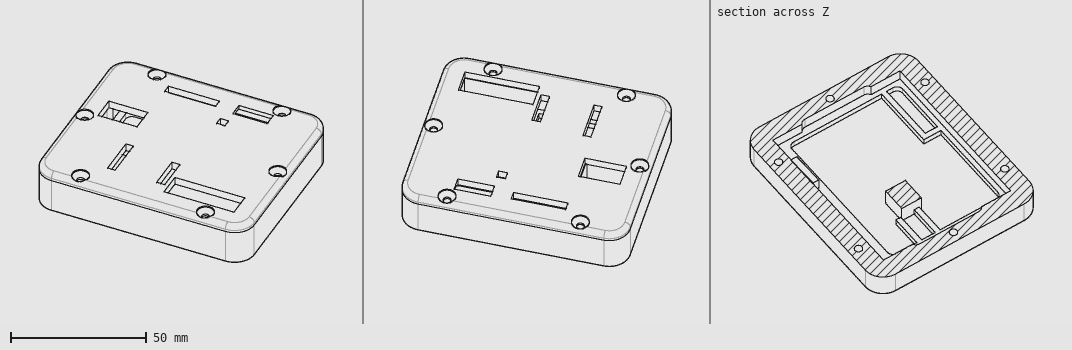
import cadquery as cq

LENGTH = 87.1
WIDTH = 74.4
HEIGHT = 17.2
CORNER_RADIUS = 8.0
TOP_FILLET = 2.1

BASE_HEIGHT = 14.0
FLOOR_THICKNESS = 2.5
LEDGE_HEIGHT = 5.0
SIDE_WALL = 8.3
END_WALL = 8.45
CAVITY_LENGTH = LENGTH - 2 * SIDE_WALL
CAVITY_WIDTH = WIDTH - 2 * END_WALL
UPPER_AREA = (-CAVITY_LENGTH / 2, CAVITY_LENGTH / 2, -CAVITY_WIDTH / 2, CAVITY_WIDTH / 2)
CAVITY_RADIUS = 2.5

RELIEF_DEPTH = 1.4
RELIEF_WIDTH = 31.7

LEFT_LEDGE = 2.7
RIGHT_LEDGE = 2.0
FRONT_LEDGE = 2.0
BACK_LEDGE = 5.4

FLOOR_X_MIN = -CAVITY_LENGTH / 2 + LEFT_LEDGE
FLOOR_X_MAX = CAVITY_LENGTH / 2 - RIGHT_LEDGE
FLOOR_Y_MIN = -CAVITY_WIDTH / 2 + FRONT_LEDGE
FLOOR_Y_MAX = CAVITY_WIDTH / 2 - BACK_LEDGE
FLOOR_AREA = (FLOOR_X_MIN, FLOOR_X_MAX, FLOOR_Y_MIN, FLOOR_Y_MAX)

SCREW_DIAMETER = 3.0
HEAD_DIAMETER = 6.6
HEAD_RECESS = 0.5
HEAD_CONE_DEPTH = (HEAD_DIAMETER - SCREW_DIAMETER) / 2
SIDE_SCREW_X = 39.5
END_SCREW_X = 25.5
END_SCREW_Y = 33.2
SCREW_POINTS = [
    (-SIDE_SCREW_X, 0),
    (SIDE_SCREW_X, 0),
    (-END_SCREW_X, -END_SCREW_Y),
    (-END_SCREW_X, END_SCREW_Y),
    (END_SCREW_X, -END_SCREW_Y),
    (END_SCREW_X, END_SCREW_Y),
]

BUS_WINDOW = (-34.85, -18.9, 1.7, 11.15)
MEAS_WINDOW = (6.6, 35.2, -29.0, -19.6)
LED_WINDOW = (9.85, 23.9, 24.0, 29.3)
NEEDLE_WINDOW = (6.9, 10.3, 16.2, 19.3)
GPIO1_WINDOW = (-18.3, -15.25, -25.1, -9.2)
GPIO2_WINDOW = (1.7, 5.05, -25.1, -11.85)
GPIO3_WINDOW = (-18.65, 2.2, 25.3, 28.6)
WINDOWS = [
    BUS_WINDOW,
    MEAS_WINDOW,
    LED_WINDOW,
    NEEDLE_WINDOW,
    GPIO1_WINDOW,
    GPIO2_WINDOW,
    GPIO3_WINDOW,
]

RIB_WIDTH = 2.3
MEAS_POCKET_LEFT = 8.5
MEAS_POCKET_BACK = -21.3
BUS_POCKET_FRONT = 3.4
BUS_POCKET_BACK = 9.5

CONNECTOR_LEFT = -19.2
CONNECTOR = (CONNECTOR_LEFT, -8.7, 0.0, 9.1)

MEAS_SIDE_RIB = (MEAS_POCKET_LEFT - RIB_WIDTH, MEAS_POCKET_LEFT, FLOOR_Y_MIN, MEAS_POCKET_BACK)
MEAS_BACK_RIB = (
    MEAS_POCKET_LEFT - RIB_WIDTH, FLOOR_X_MAX, MEAS_POCKET_BACK, MEAS_POCKET_BACK + RIB_WIDTH
)
BUS_FRONT_RIB = (FLOOR_X_MIN, CONNECTOR_LEFT, BUS_POCKET_FRONT - RIB_WIDTH, BUS_POCKET_FRONT)
BUS_BACK_RIB = (FLOOR_X_MIN, CONNECTOR_LEFT, BUS_POCKET_BACK, BUS_POCKET_BACK + RIB_WIDTH)
RIBS = [MEAS_SIDE_RIB, MEAS_BACK_RIB, BUS_FRONT_RIB, BUS_BACK_RIB]

LED_BAR_FRONT = 26.05
LED_BAR_TOP = HEIGHT - 1.3


def rounded_block(length, width, radius, bottom, top):
    """Block centred on Z with rounded vertical corners."""
    block = cq.Workplane("XY", origin=(0, 0, bottom)).rect(length, width).extrude(top - bottom)
    return block.edges("|Z").fillet(radius)


def bounded_block(bounds, bottom, top):
    """Block given by its X and Y limits and its two heights."""
    x_min, x_max, y_min, y_max = bounds
    block = cq.Workplane("XY").box(x_max - x_min, y_max - y_min, top - bottom, centered=False)
    return block.translate((x_min, y_min, bottom))


def screw_cutter():
    """Full-height screw hole on Z: shank, 45 degree head cone and a short straight head recess."""
    recess_bottom = HEIGHT - HEAD_RECESS
    cone_bottom = recess_bottom - HEAD_CONE_DEPTH
    half_profile = (
        cq.Workplane("XZ")
        .moveTo(0, 0)
        .lineTo(SCREW_DIAMETER / 2, 0)
        .lineTo(SCREW_DIAMETER / 2, cone_bottom)
        .lineTo(HEAD_DIAMETER / 2, recess_bottom)
        .lineTo(HEAD_DIAMETER / 2, HEIGHT)
        .lineTo(0, HEIGHT)
        .close()
    )
    return half_profile.revolve(360, (0, 0), (0, 1))


def make_base():
    base = rounded_block(LENGTH, WIDTH, CORNER_RADIUS, 0, BASE_HEIGHT)
    lower_cavity = bounded_block(FLOOR_AREA, FLOOR_THICKNESS, BASE_HEIGHT).edges("|Z").fillet(CAVITY_RADIUS)
    upper_cavity = bounded_block(UPPER_AREA, LEDGE_HEIGHT, BASE_HEIGHT)
    side_relief = rounded_block(
        CAVITY_LENGTH + 2 * RELIEF_DEPTH, RELIEF_WIDTH, CAVITY_RADIUS, LEDGE_HEIGHT, BASE_HEIGHT
    )
    base = base.cut(lower_cavity).cut(upper_cavity).cut(side_relief)
    for rib in RIBS:
        base = base.union(bounded_block(rib, FLOOR_THICKNESS, LEDGE_HEIGHT))
    cutter = screw_cutter()
    for x, y in SCREW_POINTS:
        base = base.cut(cutter.translate((x, y, 0)))
    return base


def make_lid():
    lid = rounded_block(LENGTH, WIDTH, CORNER_RADIUS, BASE_HEIGHT, HEIGHT)
    lid = lid.faces(">Z").edges().fillet(TOP_FILLET)
    for window in WINDOWS:
        lid = lid.cut(bounded_block(window, BASE_HEIGHT, HEIGHT))
    cutter = screw_cutter()
    for x, y in SCREW_POINTS:
        lid = lid.cut(cutter.translate((x, y, 0)))
    return lid


def make_connector():
    return bounded_block(CONNECTOR, FLOOR_THICKNESS, BASE_HEIGHT)


def make_led_bar():
    x_min, x_max = LED_WINDOW[:2]
    return bounded_block((x_min, x_max, LED_BAR_FRONT, CAVITY_WIDTH / 2), LEDGE_HEIGHT, LED_BAR_TOP)


base = make_base()
lid = make_lid()
connector = make_connector()
led_bar = make_led_bar()

result = cq.Compound.makeCompound([
    base.val(),
    lid.val(),
    connector.val(),
    led_bar.val(),
])